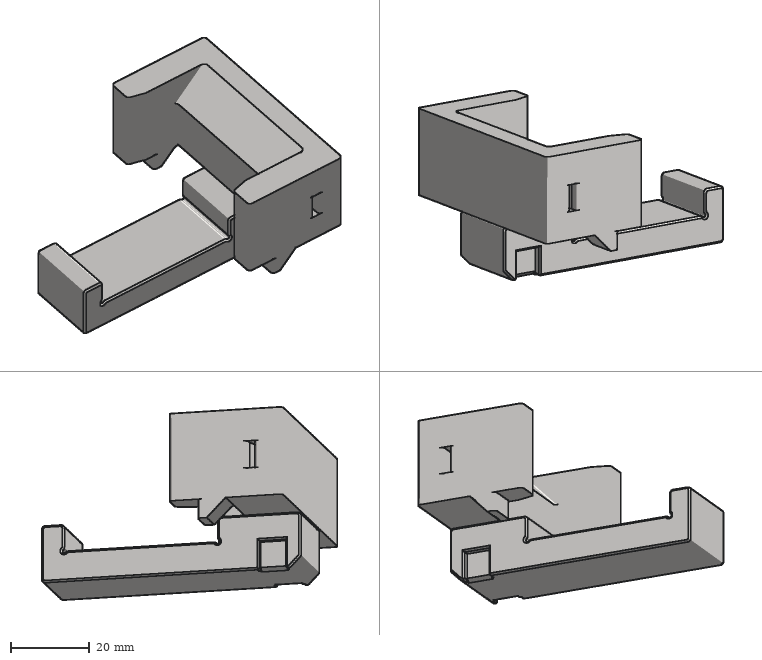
import cadquery as cq
import math

EDGE_RADIUS = 1.0
OVERLAP = 0.7

HOUSING_WIDTH = 58.0
HOUSING_DEPTH = 30.0
HOUSING_HEIGHT = 23.0
LEG_THICKNESS = 8.0
LEG_TAPER_LENGTH = 5.0
LEG_TAPER_ANGLE = 15.0
WALL_TOP_THICKNESS = 6.0
WALL_THICKNESS = 15.0
WALL_BEVEL = WALL_THICKNESS - WALL_TOP_THICKNESS

LUG_HEIGHT = 5.0
LUG_BACK = 15.0
LUG_FRONT = 22.45

SLOT_TOP = 8.4
SLOT_HEIGHT = 7.1
SLOT_BACK = 7.5
SLOT_WIDTH = 1.65
SLOT_LEAD = 2.0
SLOT_DEPTH = 6.85

HOOK_WIDTH = 20.0
HOOK_LENGTH = 68.45
HOOK_CHAMFER = 0.5
BLOCK_HEIGHT = 14.6
BLOCK_LENGTH = 22.0
ARM_THICKNESS = 8.0
LIP_HEIGHT = 15.0
LIP_THICKNESS = 6.0
BACK_CHAMFER = 3.0
RELIEF_RADIUS = 0.5

NOTCH_BACK = 4.05
NOTCH_LENGTH = 7.0
NOTCH_HEIGHT = 7.6
NOTCH_DEPTH = 2.0
NOTCH_RIM_CHAMFER = 0.5
NOTCH_FLOOR_CHAMFER = 0.95

HOUSING_BOTTOM = BLOCK_HEIGHT
HOUSING_TOP = HOUSING_BOTTOM + HOUSING_HEIGHT
LUG_BOTTOM = HOUSING_BOTTOM - LUG_HEIGHT
HALF_WIDTH = HOUSING_WIDTH / 2
INNER_HALF = HALF_WIDTH - LEG_THICKNESS
SIDES = (-1, 1)


def housing_block():
    """C-shaped bracket down to the level of the lugs, with tapered leg tips and rounded corners."""
    tip_half = INNER_HALF + LEG_TAPER_LENGTH * math.tan(math.radians(LEG_TAPER_ANGLE))
    taper_start = LEG_TAPER_LENGTH - HOUSING_DEPTH
    block = (
        cq.Workplane("XY", origin=(0, 0, LUG_BOTTOM))
        .polyline([
            (-HALF_WIDTH, 0),
            (HALF_WIDTH, 0),
            (HALF_WIDTH, -HOUSING_DEPTH),
            (tip_half, -HOUSING_DEPTH),
            (INNER_HALF, taper_start),
            (INNER_HALF, -WALL_TOP_THICKNESS),
            (-INNER_HALF, -WALL_TOP_THICKNESS),
            (-INNER_HALF, taper_start),
            (-tip_half, -HOUSING_DEPTH),
            (-HALF_WIDTH, -HOUSING_DEPTH),
        ])
        .close()
        .extrude(HOUSING_TOP - LUG_BOTTOM)
    )
    corners = block.edges("(<Y or >Y) and |Z")
    return corners.fillet(EDGE_RADIUS)


def wall_filler():
    """Thick part of the back wall, beveled along its top."""
    return (
        cq.Workplane("YZ", origin=(-INNER_HALF, 0, 0))
        .polyline([
            (-WALL_TOP_THICKNESS, LUG_BOTTOM),
            (-WALL_TOP_THICKNESS, HOUSING_TOP),
            (-WALL_THICKNESS, HOUSING_TOP - WALL_BEVEL),
            (-WALL_THICKNESS, LUG_BOTTOM),
        ])
        .close()
        .extrude(2 * INNER_HALF)
    )


def underside_cuts():
    """Cutters that clear the space behind and in front of the lugs, up to the housing's underside."""
    plane = cq.Workplane("YZ", origin=(-HALF_WIDTH, 0, 0))
    behind = (
        plane.polyline([
            (OVERLAP, HOUSING_BOTTOM),
            (-LUG_BACK, HOUSING_BOTTOM),
            (-LUG_BACK - LUG_HEIGHT, LUG_BOTTOM),
            (OVERLAP, LUG_BOTTOM),
        ])
        .close()
        .extrude(HOUSING_WIDTH)
    )
    in_front = (
        plane.polyline([
            (-LUG_FRONT, HOUSING_BOTTOM),
            (-HOUSING_DEPTH - OVERLAP, HOUSING_BOTTOM),
            (-HOUSING_DEPTH - OVERLAP, LUG_BOTTOM),
            (-LUG_FRONT, LUG_BOTTOM),
        ])
        .close()
        .extrude(HOUSING_WIDTH)
    )
    return behind, in_front


def lug_front_edges():
    """Box around the vertical front edges of both lugs."""
    return cq.selectors.BoxSelector(
        (-HOUSING_WIDTH, -LUG_FRONT - OVERLAP, LUG_BOTTOM),
        (HOUSING_WIDTH, -LUG_FRONT + OVERLAP, HOUSING_BOTTOM),
    )


def side_slot(side):
    """Cutter for one slot: a straight rear wall, and a front wall that slants back to meet it."""
    return (
        cq.Workplane("XY", origin=(0, 0, HOUSING_TOP - SLOT_TOP - SLOT_HEIGHT))
        .polyline([
            (side * HALF_WIDTH, -SLOT_BACK),
            (side * HALF_WIDTH, -SLOT_BACK - SLOT_WIDTH),
            (side * (HALF_WIDTH - SLOT_LEAD), -SLOT_BACK - SLOT_WIDTH),
            (side * (HALF_WIDTH - SLOT_DEPTH), -SLOT_BACK),
        ])
        .close()
        .extrude(SLOT_HEIGHT)
    )


def slot_mouths(side):
    """Box around the vertical mouth edges of one slot."""
    face = side * HALF_WIDTH
    return cq.selectors.BoxSelector(
        (face - OVERLAP, -SLOT_BACK - SLOT_WIDTH - OVERLAP, HOUSING_BOTTOM),
        (face + OVERLAP, -SLOT_BACK + OVERLAP, HOUSING_TOP),
    )


def wall_corners(side):
    """Box around the concave edges between the thick wall and one leg."""
    face = side * INNER_HALF
    return cq.selectors.BoxSelector(
        (face - OVERLAP, -WALL_THICKNESS - OVERLAP, LUG_BOTTOM + OVERLAP),
        (face + OVERLAP, -WALL_TOP_THICKNESS + OVERLAP, HOUSING_TOP - OVERLAP),
    )


def make_housing():
    body = housing_block().union(wall_filler())
    for side in SIDES:
        body = body.edges(wall_corners(side)).fillet(EDGE_RADIUS)
    for cutter in underside_cuts():
        body = body.cut(cutter)
    body = body.edges("|Z").edges(lug_front_edges()).fillet(EDGE_RADIUS)
    for side in SIDES:
        body = body.cut(side_slot(side))
        body = body.edges("|Z").edges(slot_mouths(side)).fillet(EDGE_RADIUS)
    return body


def hook_blank():
    """Hook outline with relief grooves and rounded corners, chamfered along both sides."""
    lip_back = LIP_THICKNESS - HOOK_LENGTH
    half = HOOK_WIDTH / 2
    blank = (
        cq.Workplane("YZ", origin=(-half, 0, 0))
        .polyline([
            (-BACK_CHAMFER, 0),
            (-HOOK_LENGTH, 0),
            (-HOOK_LENGTH, LIP_HEIGHT),
            (lip_back, LIP_HEIGHT),
            (lip_back, ARM_THICKNESS),
            (-BLOCK_LENGTH, ARM_THICKNESS),
            (-BLOCK_LENGTH, BLOCK_HEIGHT),
            (0, BLOCK_HEIGHT),
            (0, BACK_CHAMFER),
        ])
        .close()
        .extrude(HOOK_WIDTH)
    )
    grooves = (
        cq.Workplane("YZ", origin=(-half, 0, 0))
        .pushPoints([(lip_back, ARM_THICKNESS), (-BLOCK_LENGTH, ARM_THICKNESS)])
        .circle(RELIEF_RADIUS)
        .extrude(HOOK_WIDTH)
    )
    blank = blank.cut(grooves)
    blank = blank.edges("|X").fillet(EDGE_RADIUS)
    return blank.faces("<X or >X").chamfer(HOOK_CHAMFER)


def side_notch(side):
    """Cutter for one notch, with a chamfered rim and a bevel where its floor meets the underside."""
    face = side * HOOK_WIDTH / 2
    middle = -NOTCH_BACK - NOTCH_LENGTH / 2
    pocket = cq.Workplane("XY").box(2 * NOTCH_DEPTH, NOTCH_LENGTH, 2 * NOTCH_HEIGHT)
    rim_flare = (
        cq.Workplane("YZ", origin=(-NOTCH_RIM_CHAMFER, 0, 0))
        .rect(NOTCH_LENGTH, 2 * NOTCH_HEIGHT)
        .workplane(offset=NOTCH_RIM_CHAMFER)
        .rect(NOTCH_LENGTH + 2 * NOTCH_RIM_CHAMFER, 2 * (NOTCH_HEIGHT + NOTCH_RIM_CHAMFER))
        .loft(ruled=True)
    )
    underside_flare = (
        cq.Workplane("YZ", origin=(-NOTCH_DEPTH, 0, 0))
        .polyline([
            (-NOTCH_LENGTH / 2 - NOTCH_RIM_CHAMFER, 0),
            (-NOTCH_LENGTH / 2, NOTCH_RIM_CHAMFER),
            (NOTCH_LENGTH / 2, NOTCH_RIM_CHAMFER),
            (NOTCH_LENGTH / 2 + NOTCH_RIM_CHAMFER, 0),
        ])
        .close()
        .extrude(NOTCH_DEPTH)
    )
    floor_bevel = (
        cq.Workplane("XZ", origin=(-NOTCH_DEPTH, NOTCH_LENGTH / 2, 0))
        .polyline([(0, 0), (0, NOTCH_FLOOR_CHAMFER), (-NOTCH_FLOOR_CHAMFER, 0)])
        .close()
        .extrude(NOTCH_LENGTH)
    )
    cutter = pocket.union(rim_flare).union(underside_flare).union(floor_bevel)
    if side < 0:
        cutter = cutter.mirror("YZ")
    return cutter.translate((face, middle, 0))


def make_hook():
    body = hook_blank()
    for side in SIDES:
        body = body.cut(side_notch(side))
    return body


housing = make_housing()
hook = make_hook()
result = cq.Compound.makeCompound([housing.val(), hook.val()])